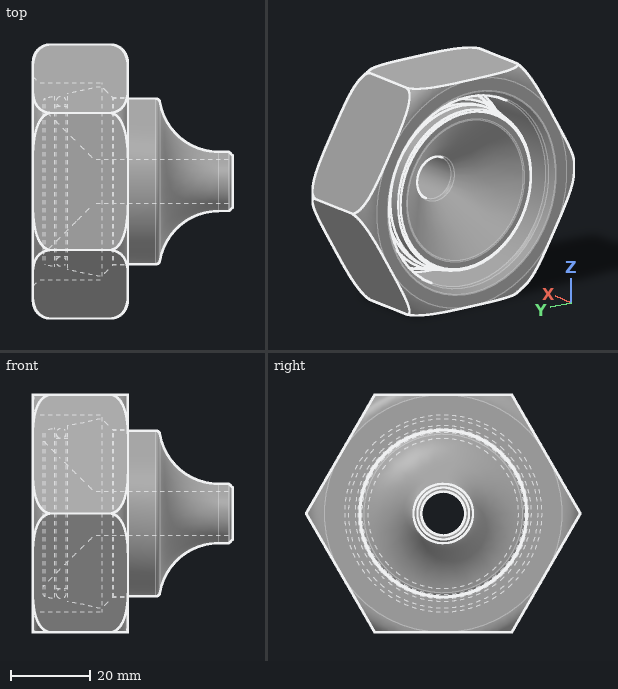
import cadquery as cq
import math


across_flats = 60.0
across_corners = across_flats / math.cos(math.radians(30))
nut_length = 24.05
nut_edge_radius = 4.65
nut_bore_radius = 49.8 / 2
nut_exit_radius = 42.3 / 2
mouth_radius = 26.5
mouth_depth = mouth_radius - nut_bore_radius
mouth_rounding = 0.3
bore_rounding = 1.2
cut_clearance = 0.7

collar_radius = 47.8 / 2
boss_radius = 41.9 / 2
nose_x = 2.6
nose_radius = 20.9
nose_chamfer = 0.4
cone_slope = math.tan(math.radians(12))
cone_end_x = nose_x + (collar_radius - nose_radius) / cone_slope
shoulder_x = 17.45

ring_thickness = 2.5
ring_outer_radius = 21.5
groove_floor_radius = ring_outer_radius - ring_thickness
groove_start_x = 5.55
groove_width = 3.25
groove_end_x = groove_start_x + groove_width

tip_x = 50.5
tip_radius = 15.0 / 2
tip_chamfer = 1.0
tip_rounding = 0.3
flare_end_x = 46.9
flare_radius = 14.95
boss_rounding = 1.1

hole_radius = 11.0 / 2
funnel_radius = 18.4
funnel_end_x = nose_x + funnel_radius - hole_radius
funnel_mouth_rounding = 0.5
funnel_throat_rounding = 1.3


def midpoint(a, b):
    return ((a[0] + b[0]) / 2, (a[1] + b[1]) / 2)


def toward(start, end, distance):
    """Point at a distance from start on the way to end."""
    share = distance / math.dist(start, end)
    return (start[0] + share * (end[0] - start[0]), start[1] + share * (end[1] - start[1]))


def round_corner(path, before, corner, after, radius):
    """Run the path to a corner and round it with an arc tangent to both sides."""
    side_a = toward(corner, before, 0.7)
    side_b = toward(corner, after, 0.7)
    half_angle = math.asin(math.dist(side_a, side_b) / 1.4)
    tangent_length = radius / math.tan(half_angle)
    arc_start = toward(corner, before, tangent_length)
    arc_middle = toward(corner, midpoint(side_a, side_b), radius / math.sin(half_angle) - radius)
    arc_end = toward(corner, after, tangent_length)
    return path.lineTo(*arc_start).threePointArc(arc_middle, arc_end)


def arc_about(path, center, start, end, radius):
    """Add the shorter arc about a center from start, where the path is, to end."""
    return path.threePointArc(toward(center, midpoint(start, end), radius), end)


def revolve_about_x(path):
    return path.close().revolve(360, (0, 0, 0), (1, 0, 0))


def cone_point(x):
    """Point of the sealing cone at a distance along X."""
    return (x, nose_radius + (x - nose_x) * cone_slope)


def make_nut_blank():
    """Hexagon whose corners are rounded off at both ends."""
    hexagon = cq.Workplane("YZ").polygon(6, across_corners).extrude(nut_length)
    envelope = (
        cq.Workplane("YZ")
        .circle(across_flats / 2 + nut_edge_radius)
        .extrude(nut_length)
        .edges()
        .fillet(nut_edge_radius)
    )
    return hexagon.intersect(envelope)


def make_nut_opening():
    """Countersunk bore that narrows over the seat to the exit hole."""
    face_point = (0, across_flats / 2)
    mouth_outer = (0, mouth_radius)
    mouth_inner = (mouth_depth, nut_bore_radius)
    bore_end = (shoulder_x, nut_bore_radius)
    seat_start = (shoulder_x, collar_radius)
    seat_end = (shoulder_x + collar_radius - nut_exit_radius, nut_exit_radius)

    path = cq.Workplane("XY").moveTo(-cut_clearance, 0)
    path = path.lineTo(-cut_clearance, face_point[1]).lineTo(*face_point)
    path = round_corner(path, face_point, mouth_outer, mouth_inner, mouth_rounding)
    path = round_corner(path, mouth_outer, mouth_inner, bore_end, bore_rounding)
    path = path.lineTo(*bore_end).lineTo(*seat_start).lineTo(*seat_end)
    path = path.lineTo(nut_length, nut_exit_radius).lineTo(nut_length, 0)
    return revolve_about_x(path)


def make_nut():
    return make_nut_blank().cut(make_nut_opening()).solids()


def add_passage(path):
    """From the end of the tip through the hole and the funnel to the nose."""
    tip_inner = (tip_x, hole_radius)
    throat = (funnel_end_x, hole_radius)
    funnel_mouth = (nose_x, funnel_radius)
    nose = (nose_x, nose_radius)
    path = path.lineTo(*tip_inner)
    path = round_corner(path, tip_inner, throat, funnel_mouth, funnel_throat_rounding)
    return round_corner(path, throat, funnel_mouth, nose, funnel_mouth_rounding)


def add_sealing_cone(path):
    """Chamfered nose, cone with the O-ring groove, collar and 45 degree shoulder."""
    return (
        path.lineTo(nose_x, nose_radius - nose_chamfer)
        .lineTo(*cone_point(nose_x + nose_chamfer))
        .lineTo(*cone_point(groove_start_x))
        .lineTo(groove_start_x, groove_floor_radius)
        .lineTo(groove_end_x, groove_floor_radius)
        .lineTo(*cone_point(groove_end_x))
        .lineTo(cone_end_x, collar_radius)
        .lineTo(shoulder_x, collar_radius)
        .lineTo(shoulder_x + collar_radius - boss_radius, boss_radius)
    )


def add_boss_and_flare(path):
    """Boss with a rounded edge that runs tangentially into the flare."""
    flare_end = (flare_end_x, tip_radius)
    flare_center = (flare_end_x, tip_radius + flare_radius)

    center_rise = flare_center[1] - (boss_radius - boss_rounding)
    center_run = math.sqrt((flare_radius + boss_rounding) ** 2 - center_rise**2)
    rounding_center = (flare_end_x - center_run, boss_radius - boss_rounding)

    boss_end = (rounding_center[0], boss_radius)
    flare_start = toward(rounding_center, flare_center, boss_rounding)
    path = path.lineTo(*boss_end)
    path = arc_about(path, rounding_center, boss_end, flare_start, boss_rounding)
    return arc_about(path, flare_center, flare_start, flare_end, flare_radius)


def make_nipple():
    tip_shoulder = (tip_x - tip_chamfer, tip_radius)
    tip_outer = (tip_x, tip_radius - tip_chamfer)
    path = cq.Workplane("XY").moveTo(*tip_outer)
    path = add_passage(path)
    path = add_sealing_cone(path)
    path = add_boss_and_flare(path)
    path = round_corner(path, (flare_end_x, tip_radius), tip_shoulder, tip_outer, tip_rounding)
    return revolve_about_x(path)


def make_o_ring():
    """Round ring that sits on the groove floor, midway along the groove."""
    section_x = (groove_start_x + groove_end_x) / 2
    section_radius = ring_thickness / 2
    section_center = (section_x, groove_floor_radius + section_radius)
    section = cq.Workplane("XY").moveTo(*section_center).circle(section_radius)
    return section.revolve(360, (0, 0, 0), (1, 0, 0))


nut = make_nut()
nipple = make_nipple()
o_ring = make_o_ring()

result = cq.Compound.makeCompound([nut.val(), nipple.val(), o_ring.val()])